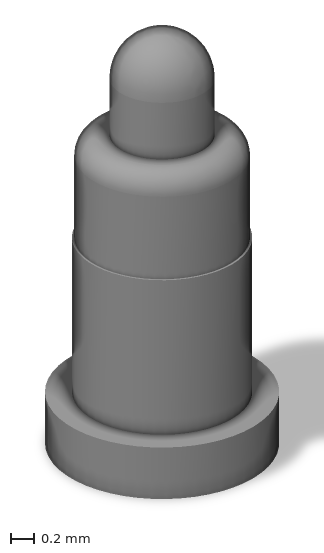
import cadquery as cq

total_height = 4.0
flange_diameter = 2.0
flange_height = 0.5
barrel_diameter = 1.54
barrel_top = total_height / 2
collar_diameter = 1.5
collar_top = 3.0
collar_rounding = 0.2
plunger_diameter = 0.9

plunger_radius = plunger_diameter / 2
tip_base = total_height - plunger_radius


def cylinder(diameter, bottom, top):
    """Cylinder on the Z axis between two heights."""
    return cq.Workplane("XY").workplane(offset=bottom).circle(diameter / 2).extrude(top - bottom)


flange = cylinder(flange_diameter, 0, flange_height)
barrel = cylinder(barrel_diameter, flange_height, barrel_top)

collar = cylinder(collar_diameter, barrel_top, collar_top).faces(">Z").edges().fillet(collar_rounding)

plunger = cylinder(plunger_diameter, collar_top, tip_base)
tip = cq.Workplane("XY").sphere(plunger_radius).translate((0, 0, tip_base))

result = flange.union(barrel).union(collar).union(plunger).union(tip)